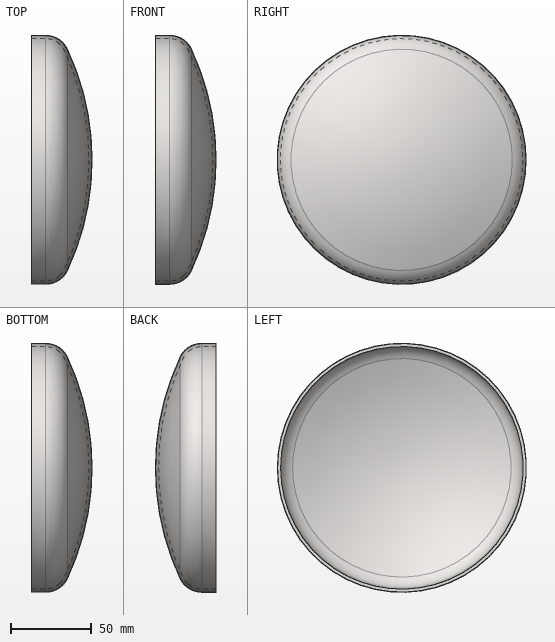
import cadquery as cq
import math

outer_diameter = 154.0
inner_diameter = 150.0
depth = 37.5
rim_length = 8.8
knuckle_radius = 15.0

outer_radius = outer_diameter / 2
wall = (outer_diameter - inner_diameter) / 2

knuckle_center_radius = outer_radius - knuckle_radius
crown_rise = depth - rim_length
crown_angle = 2 * math.atan((crown_rise - knuckle_radius) / knuckle_center_radius)
crown_radius = knuckle_radius + knuckle_center_radius / math.sin(crown_angle)
crown_center_x = depth - crown_radius


def crown_point(angle, inset):
    """Point on the crown, at an angle from the axis and an inset from the outer face."""
    radius = crown_radius - inset
    return (crown_center_x + radius * math.cos(angle), radius * math.sin(angle))


def knuckle_point(angle, inset):
    """Point on the knuckle, at an angle from the axis and an inset from the outer face."""
    radius = knuckle_radius - inset
    return (
        rim_length + radius * math.cos(angle),
        knuckle_center_radius + radius * math.sin(angle),
    )


knuckle_mid_angle = (crown_angle + math.pi / 2) / 2

profile = (
    cq.Workplane("XY")
    .moveTo(0, outer_radius)
    .lineTo(rim_length, outer_radius)
    .threePointArc(knuckle_point(knuckle_mid_angle, 0), knuckle_point(crown_angle, 0))
    .threePointArc(crown_point(crown_angle / 2, 0), crown_point(0, 0))
    .lineTo(*crown_point(0, wall))
    .threePointArc(crown_point(crown_angle / 2, wall), crown_point(crown_angle, wall))
    .threePointArc(
        knuckle_point(knuckle_mid_angle, wall), (rim_length, outer_radius - wall)
    )
    .lineTo(0, outer_radius - wall)
    .close()
)

result = profile.revolve(360, (0, 0, 0), (1, 0, 0))